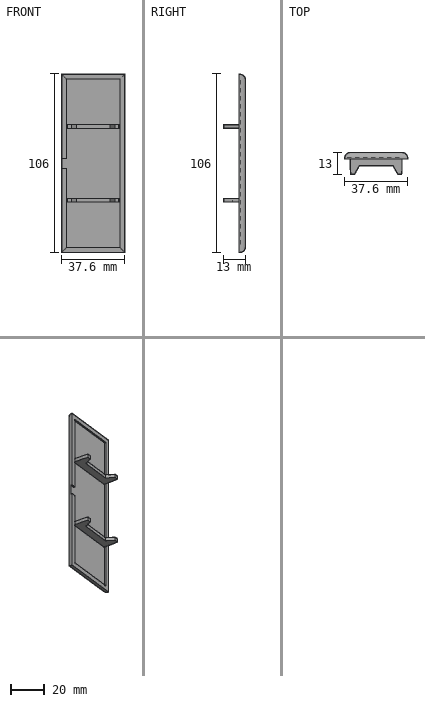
import cadquery as cq

plate_width = 37.6
plate_height = 106.0
plate_thickness = 4.0
total_depth = 13.0
edge_band = 0.5
edge_radius = plate_thickness - edge_band
rim_width = 3.0
recess_depth = 1.0
notch_height = 6.0

rib_thickness = 2.2
rib_outer_span = 46.1
rib_half_width = 15.5
tip_half_width = 15.2
tip_inner_half_width = 12.8
arch_half_width = 10.0
bridge_height = 3.9
taper_start = 5.7
leg_height = total_depth - plate_thickness


def make_plate():
    """Flat plate on Y = 0 with all four edges of the +Y face rounded."""
    plate = cq.Workplane("XY").box(
        plate_width, plate_thickness, plate_height, centered=(True, False, True)
    )
    return plate.faces(">Y").edges().fillet(edge_radius)


def make_recess():
    """Shallow rectangular pocket with a notch through the middle of the -X rim."""
    pocket = cq.Workplane("XY").box(
        plate_width - 2 * rim_width,
        recess_depth,
        plate_height - 2 * rim_width,
        centered=(True, False, True),
    )
    notch = cq.Workplane("XY").box(
        plate_width / 2, recess_depth, notch_height, centered=(False, False, True)
    ).translate((-plate_width / 2, 0, 0))
    return pocket.union(notch)


def make_rib(center_z):
    """Bridge with a tapered leg at each end, rooted on the recess floor."""
    half_outline = [
        (rib_half_width, recess_depth),
        (rib_half_width, -taper_start),
        (tip_half_width, -leg_height),
        (tip_inner_half_width, -leg_height),
        (arch_half_width, -bridge_height),
    ]
    mirrored = [(-x, y) for x, y in reversed(half_outline)]
    return (
        cq.Workplane("XY")
        .workplane(offset=center_z - rib_thickness / 2)
        .polyline(half_outline + mirrored)
        .close()
        .extrude(rib_thickness)
    )


result = make_plate().cut(make_recess())
rib_center_z = (rib_outer_span - rib_thickness) / 2
for z in (-rib_center_z, rib_center_z):
    result = result.union(make_rib(z))